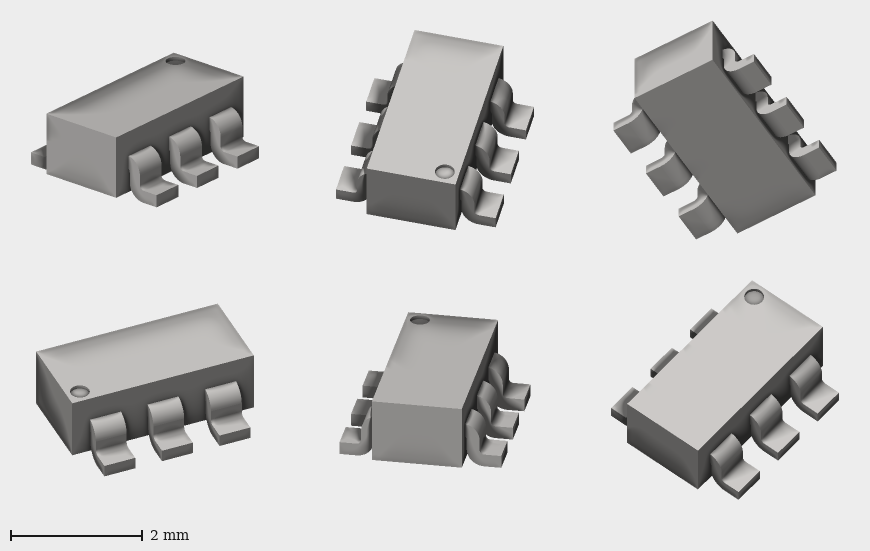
import cadquery as cq

overall_width = 2.5
overall_height = 1.1
body_width = 1.39
body_length = 3
standoff = 0.1

lead_pitch = 0.95
leads_per_side = 3
lead_width = 0.51
lead_thickness = 0.2
lead_height = 0.7
shank_gap = 0.02
inner_bend_radius = 0.07
outer_bend_radius = inner_bend_radius + lead_thickness
lead_embed = 0.15

marker_diameter = 0.3
marker_edge_distance = 0.222
marker_depth = 0.06


def make_body():
    body_height = overall_height - standoff
    body = cq.Workplane("XY").box(body_width, body_length, body_height, centered=(True, True, False))
    return body.translate((0, 0, standoff))


def make_marker():
    marker_x = marker_edge_distance - body_width / 2
    marker_y = body_length / 2 - marker_edge_distance
    return (
        cq.Workplane("XY", origin=(marker_x, marker_y, overall_height - marker_depth))
        .circle(marker_diameter / 2)
        .extrude(marker_depth)
    )


def make_left_lead():
    """Lead on the -X side, centred on Y = 0: foot, upright shank and buried top."""
    toe = -overall_width / 2
    shank_inside = -body_width / 2 - shank_gap
    shank_outside = shank_inside - lead_thickness
    buried_end = -body_width / 2 + lead_embed
    foot_bend_x = shank_outside - inner_bend_radius
    foot_bend_z = outer_bend_radius
    top_bend_x = shank_inside + inner_bend_radius
    top_bend_z = lead_height - outer_bend_radius

    profile = (
        cq.Workplane("XZ")
        .moveTo(toe, 0)
        .lineTo(foot_bend_x, 0)
        .radiusArc((shank_inside, foot_bend_z), -outer_bend_radius)
        .lineTo(shank_inside, top_bend_z)
        .radiusArc((top_bend_x, lead_height - lead_thickness), inner_bend_radius)
        .lineTo(buried_end, lead_height - lead_thickness)
        .lineTo(buried_end, lead_height)
        .lineTo(top_bend_x, lead_height)
        .radiusArc((shank_outside, top_bend_z), -outer_bend_radius)
        .lineTo(shank_outside, foot_bend_z)
        .radiusArc((foot_bend_x, lead_thickness), inner_bend_radius)
        .lineTo(toe, lead_thickness)
        .close()
    )
    return profile.extrude(lead_width / 2, both=True)


result = make_body().cut(make_marker())
left_lead = make_left_lead()
right_lead = left_lead.mirror("YZ")
for index in range(leads_per_side):
    lead_y = (index - (leads_per_side - 1) / 2) * lead_pitch
    for lead in (left_lead, right_lead):
        result = result.union(lead.translate((0, lead_y, 0)))